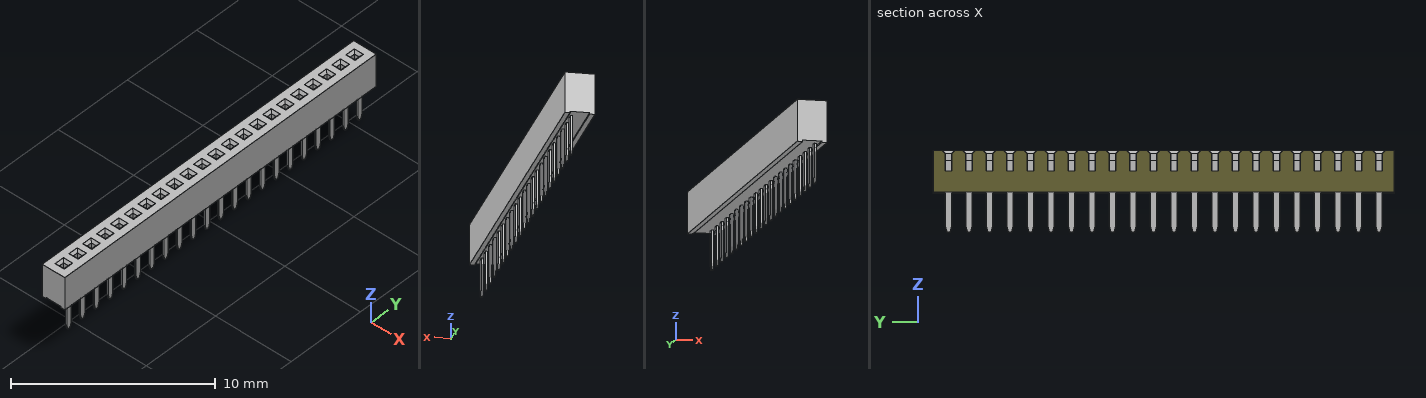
import cadquery as cq

contact_count = 22
pitch = 1.0

body_width = 1.5
end_margin = 0.75
body_length = (contact_count - 1) * pitch + 2 * end_margin
body_height = 2.1
foot_width = 0.27
foot_height = 0.07

mouth_size = 0.6
well_size = 0.3
lead_in_depth = 0.15
well_depth = 0.5
gap_width = 0.1
gap_depth = 1.0

tail_thickness = 0.1
tail_width = 0.32
tail_offset = 0.3
tail_length = 1.9
tip_width = 0.16
tip_length = 0.3

contact_places = [(i - (contact_count - 1) / 2) * pitch for i in range(contact_count)]


def make_housing():
    block = cq.Workplane("XY").box(body_width, body_length, body_height, centered=(True, True, False))
    channel_width = body_width - 2 * foot_width
    channel = cq.Workplane("XY").box(channel_width, body_length, foot_height, centered=(True, True, False))
    return block.cut(channel)


def make_socket(y):
    """Space removed from the top of the housing for one mating pin."""
    lead_in = (
        cq.Workplane("XY", origin=(0, y, body_height))
        .rect(mouth_size, mouth_size)
        .workplane(offset=-lead_in_depth)
        .rect(well_size, well_size)
        .loft(ruled=True)
    )
    well = cq.Workplane("XY", origin=(0, y, body_height)).rect(well_size, well_size).extrude(-well_depth)
    gap = cq.Workplane("XY", origin=(0, y, body_height)).rect(gap_width, well_size).extrude(-gap_depth)
    return lead_in.union(well).union(gap)


def make_tail(y):
    """Solder tail reaching down from the roof of the underside channel."""
    shoulder_z = tip_length - tail_length
    outline = [
        (-tail_width / 2, foot_height),
        (-tail_width / 2, shoulder_z),
        (-tip_width / 2, -tail_length),
        (tip_width / 2, -tail_length),
        (tail_width / 2, shoulder_z),
        (tail_width / 2, foot_height),
    ]
    return (
        cq.Workplane("YZ", origin=(tail_offset, y, 0))
        .polyline(outline)
        .close()
        .extrude(tail_thickness / 2, both=True)
    )


result = make_housing()
for place in contact_places:
    result = result.cut(make_socket(place)).union(make_tail(place))